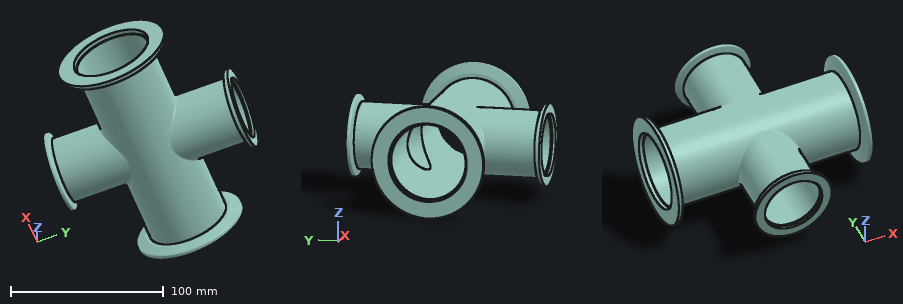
import cadquery as cq
import math

run_length = 140.0
branch_span = 130.0

run_tube_diameter = 54.0
run_bore = 50.0
branch_tube_diameter = 44.7
branch_bore = 40.5
joint_radius = 1.0

rim_width = 2.2
rim_radius = 1.0
clamp_angle = math.radians(15)

run_flange_diameter = 75.0
run_flange_bore = 52.4
run_hub_diameter = 59.8
run_recess = 3.0
run_weld_radius = 0.5

branch_flange_diameter = 55.0
branch_flange_bore = 41.2
branch_recess = 3.2
branch_lip_depth = 2.2


def double_cylinder(plane, diameter, length):
    """Cylinder centred on the origin, along the normal of the plane."""
    return cq.Workplane(plane).circle(diameter / 2).extrude(length / 2, both=True)


def make_cross():
    """Four-way tube: the run and both branches, with rounded joints and open bores."""
    run_tube_length = run_length - 2 * run_recess
    branch_tube_length = branch_span - 2 * branch_recess
    run = double_cylinder("YZ", run_tube_diameter, run_tube_length)
    branches = double_cylinder("XZ", branch_tube_diameter, branch_tube_length)

    half_box = run_tube_diameter / 2 + joint_radius
    around_crossing = cq.selectors.BoxSelector((-half_box,) * 3, (half_box,) * 3)
    cross = run.union(branches).edges(around_crossing).fillet(joint_radius)

    cross = cross.cut(double_cylinder("YZ", run_bore, run_tube_length))
    return cross.cut(double_cylinder("XZ", branch_bore, branch_tube_length))


def face_plane(axis, distance):
    """Plane through the flange axis: local X is the radius, local Y the depth behind the flange face."""
    outward = cq.Vector(*axis)
    up = cq.Vector(0, 0, 1)
    return cq.Plane(origin=outward * distance, xDir=up, normal=up.cross(-outward))


def start_flange(plane, diameter, bore, hub_diameter):
    """Flange half section from the bore, over the face and the rounded rim, to the small end of the cone.

    Returns the open outline and the depth at which the cone ends.
    """
    radius = diameter / 2
    arc_centre = radius - rim_radius
    arc_turn = math.pi / 2 - clamp_angle
    arc_middle = (
        arc_centre + rim_radius * math.cos(arc_turn / 2),
        rim_width + rim_radius * math.sin(arc_turn / 2),
    )
    cone_start = (arc_centre + rim_radius * math.cos(arc_turn), rim_width + rim_radius * math.sin(arc_turn))
    hub_depth = cone_start[1] + (cone_start[0] - hub_diameter / 2) * math.tan(clamp_angle)
    outline = (
        cq.Workplane(plane)
        .moveTo(bore / 2, 0)
        .lineTo(radius, 0)
        .lineTo(radius, rim_width)
        .threePointArc(arc_middle, cone_start)
        .lineTo(hub_diameter / 2, hub_depth)
    )
    return outline, hub_depth


def revolve_flange(outline):
    """Close the half section and turn it about the flange axis."""
    return outline.close().revolve(360, (0, 0), (0, 1))


def make_run_flange(side):
    """Flange sleeved on the run tube, with a concave weld bead in front of the tube end."""
    plane = face_plane((side, 0, 0), run_length / 2)
    outline, hub_depth = start_flange(plane, run_flange_diameter, run_flange_bore, run_hub_diameter)
    tube_radius = run_tube_diameter / 2
    bore_radius = run_flange_bore / 2
    bead_middle = run_weld_radius * (1 - math.cos(math.pi / 4))
    outline = (
        outline.lineTo(tube_radius, hub_depth)
        .lineTo(tube_radius, run_recess)
        .lineTo(bore_radius - run_weld_radius, run_recess)
        .threePointArc(
            (bore_radius - bead_middle, run_recess - bead_middle),
            (bore_radius, run_recess - run_weld_radius),
        )
    )
    return revolve_flange(outline)


def make_branch_flange(side):
    """Flange whose cone runs out at the branch tube, with a lip in front of the tube end."""
    plane = face_plane((0, side, 0), branch_span / 2)
    outline, _ = start_flange(plane, branch_flange_diameter, branch_flange_bore, branch_tube_diameter)
    outline = (
        outline.lineTo(branch_tube_diameter / 2, branch_recess)
        .lineTo(branch_bore / 2, branch_recess)
        .lineTo(branch_bore / 2, branch_lip_depth)
        .lineTo(branch_flange_bore / 2, branch_lip_depth)
    )
    return revolve_flange(outline)


cross = make_cross()
run_flanges = [make_run_flange(side).val() for side in (-1, 1)]
branch_flanges = [make_branch_flange(side).val() for side in (-1, 1)]
result = cq.Compound.makeCompound([cross.val(), *run_flanges, *branch_flanges])